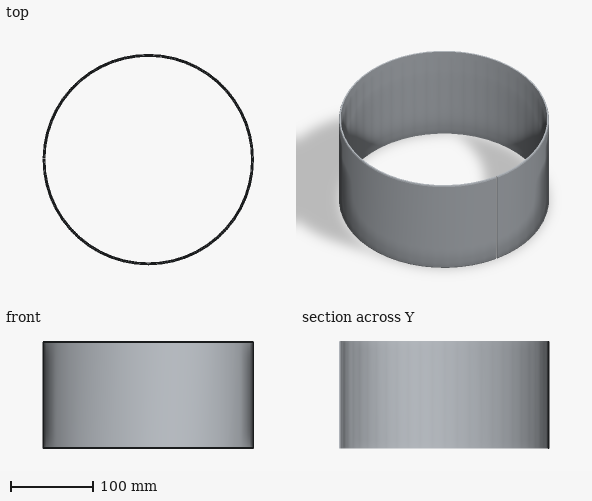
import cadquery as cq

outer_diameter = 255.0
height = 130.0
wall = 2.2
bevel_height = 1.5
bevel_depth = 0.5
slit_width = 2.0

outer_radius = outer_diameter / 2
inner_radius = outer_radius - wall
bevel_radius = outer_radius - bevel_depth
half_height = height / 2
bevel_start = half_height - bevel_height

ring = (
    cq.Workplane("XZ")
    .moveTo(inner_radius, -half_height)
    .lineTo(bevel_radius, -half_height)
    .lineTo(outer_radius, -bevel_start)
    .lineTo(outer_radius, bevel_start)
    .lineTo(bevel_radius, half_height)
    .lineTo(inner_radius, half_height)
    .close()
    .revolve(360, (0, 0, 0), (0, 1, 0))
)

slit = cq.Workplane("XY").box(outer_radius, slit_width, height, centered=(False, False, True))
slit = slit.translate((-outer_radius, 0, 0))

result = ring.cut(slit)